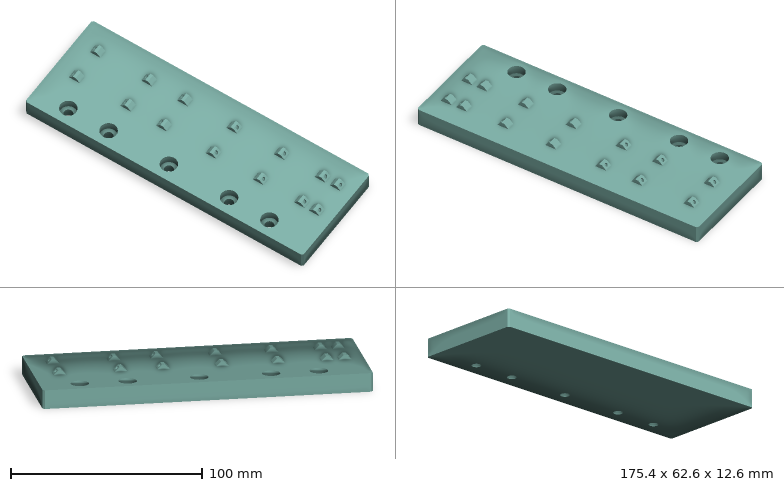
import cadquery as cq

plate_length = 175.4
plate_width = 62.6
plate_thickness = 10.2
total_height = 12.6
corner_chamfer = 1.0

hole_diameter = 5.3
counterbore_diameter = 9.6
counterbore_depth = 4.9
hole_row_y = -22.3
middle_hole_x = -3.0
inner_hole_spacing = 38.0
outer_hole_spacing = 25.5

ridge_height = total_height - plate_thickness
ridge_width = 4.9
ridge_base_length = 6.8
ridge_flat_length = 1.8
ridge_rows_y = (16.3, -3.2)
left_pocket_ridges_x = (-74.0, -41.5, -19.0)
right_pocket_ridges_x = (12.3, 42.1, 68.0, 77.5)

pocket_diameter = 2.1
pocket_depth = 1.0
pocket_height = 1.5


def make_plate():
    plate = cq.Workplane("XY").rect(plate_length, plate_width).extrude(plate_thickness)
    return plate.edges("|Z").chamfer(corner_chamfer)


def hole_centres():
    inner_offset = inner_hole_spacing
    outer_offset = inner_hole_spacing + outer_hole_spacing
    offsets = (-outer_offset, -inner_offset, 0, inner_offset, outer_offset)
    return [(middle_hole_x + offset, hole_row_y) for offset in offsets]


def make_hole_cutters():
    centres = hole_centres()
    through_holes = cq.Workplane("XY").pushPoints(centres).circle(hole_diameter / 2).extrude(plate_thickness)
    counterbores = (
        cq.Workplane("XY", origin=(0, 0, plate_thickness))
        .pushPoints(centres)
        .circle(counterbore_diameter / 2)
        .extrude(-counterbore_depth)
    )
    return through_holes.union(counterbores)


def make_ridge(direction):
    """Ridge at the origin, with its pocket on the +X end (direction 1) or the -X end (direction -1)."""
    half_base = ridge_base_length / 2
    half_flat = ridge_flat_length / 2
    ridge = (
        cq.Workplane("XZ")
        .polyline([(-half_base, 0), (half_base, 0), (half_flat, ridge_height), (-half_flat, ridge_height)])
        .close()
        .extrude(ridge_width / 2, both=True)
    )
    slope_run = half_base - half_flat
    pocket_x = direction * (half_base - slope_run * pocket_height / ridge_height)
    mouth = cq.Vector(pocket_x, 0, pocket_height)
    inward = cq.Vector(-direction * ridge_height, 0, -slope_run)
    pocket = cq.Solid.makeCylinder(pocket_diameter / 2, pocket_depth, mouth, inward)
    return ridge.cut(cq.Workplane(pocket))


result = make_plate()
for direction, columns in ((-1, left_pocket_ridges_x), (1, right_pocket_ridges_x)):
    ridge = make_ridge(direction)
    for x in columns:
        for y in ridge_rows_y:
            result = result.union(ridge.translate((x, y, plate_thickness)))

result = result.cut(make_hole_cutters())